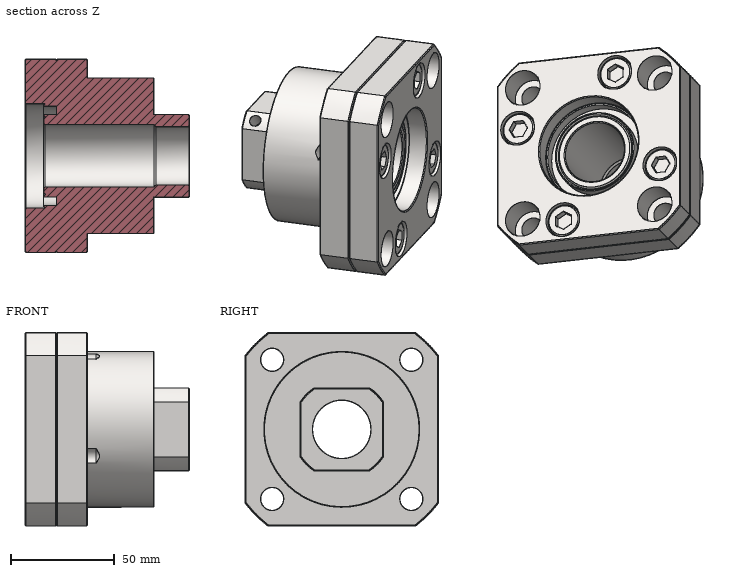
import cadquery as cq
import math


FLANGE_SIDE = 93.0
FLANGE_CORNER_RADIUS = 58.5
FRONT_PLATE_END = 15.0
FLANGE_END = 29.9
EDGE_CHAMFER = 0.5

BODY_RADIUS = 37.5
BODY_END = 61.9
BODY_CHAMFER = 0.3

NUT_SIDE = 40.0
NUT_CORNER_RADIUS = 24.0
NUT_END = 79.0
NUT_BORE_RADIUS = 14.0
SET_SCREW_RADIUS = 2.8
SET_SCREW_X = 73.0

BORE_RADIUS = 15.0
RECESS_RADIUS = 23.8
RECESS_DEPTH = FRONT_PLATE_END
SEAL_SEAT_RADIUS = 25.0
SLEEVE_FACE_X = 8.9
SLEEVE_RADIUS = 18.6
SLEEVE_CHAMFER = 0.7
COLLAR_RADIUS = 19.9

MOUNT_OFFSET = 33.5
MOUNT_HOLE_RADIUS = 5.5
MOUNT_COUNTERBORE_RADIUS = 8.7
MOUNT_COUNTERBORE_DEPTH = FRONT_PLATE_END

SCREW_COUNT = 4
SCREW_CIRCLE_RADIUS = 38.4
SCREW_FIRST_ANGLE = 20.0
SCREW_SEAT_RADIUS = 8.6
SCREW_SEAT_DEPTH = 11.0
SCREW_HEAD_RADIUS = 8.0
SCREW_HEAD_CHAMFER = 0.65
SCREW_HEAD_X = 1.0
SOCKET_FLATS = 8.0
SOCKET_DEPTH = 4.0

DRILL_RADIUS = 3.9
DRILL_END = 34.1
DRILL_TIP_HALF_ANGLE = 60.0


def yz_plane(x):
    """Sketch plane at x, with local axes along Y and Z."""
    return cq.Workplane("YZ", origin=(x, 0, 0))


def cylinder(x_start, x_end, radius):
    return yz_plane(x_start).circle(radius).extrude(x_end - x_start)


def revolved(profile):
    """Turn a closed outline of (x, radius) points about the X axis."""
    return cq.Workplane("XY").polyline(profile).close().revolve(360, (0, 0, 0), (1, 0, 0))


def rounded_square(x_start, x_end, side, corner_radius):
    """Square bar whose corners are cut to a circle about the axis."""
    square = yz_plane(x_start).rect(side, side).extrude(x_end - x_start)
    return square.intersect(cylinder(x_start, x_end, corner_radius))


def make_flange():
    front_plate = rounded_square(0, FRONT_PLATE_END, FLANGE_SIDE, FLANGE_CORNER_RADIUS)
    back_plate = rounded_square(FRONT_PLATE_END, FLANGE_END, FLANGE_SIDE, FLANGE_CORNER_RADIUS)
    front_plate = front_plate.faces("<X or >X").chamfer(EDGE_CHAMFER)
    back_plate = back_plate.faces("<X or >X").chamfer(EDGE_CHAMFER)
    return front_plate.union(back_plate)


def make_body():
    return cylinder(FLANGE_END, BODY_END, BODY_RADIUS).faces(">X").chamfer(BODY_CHAMFER)


def make_nut():
    nut = rounded_square(BODY_END, NUT_END, NUT_SIDE, NUT_CORNER_RADIUS)
    return nut.faces(">X").chamfer(EDGE_CHAMFER)


def make_center_cavity():
    """Annular recess round the sleeve, then the bore narrowing inside the nut."""
    bore_step = BORE_RADIUS - NUT_BORE_RADIUS
    return revolved([
        (0, 0),
        (0, RECESS_RADIUS),
        (RECESS_DEPTH, RECESS_RADIUS),
        (RECESS_DEPTH, COLLAR_RADIUS),
        (SLEEVE_FACE_X, COLLAR_RADIUS),
        (SLEEVE_FACE_X, SLEEVE_RADIUS + SLEEVE_CHAMFER),
        (SLEEVE_FACE_X + SLEEVE_CHAMFER, SLEEVE_RADIUS),
        (SLEEVE_FACE_X, SLEEVE_RADIUS - SLEEVE_CHAMFER),
        (SLEEVE_FACE_X, BORE_RADIUS + EDGE_CHAMFER),
        (SLEEVE_FACE_X + EDGE_CHAMFER, BORE_RADIUS),
        (BODY_END, BORE_RADIUS),
        (BODY_END + bore_step, NUT_BORE_RADIUS),
        (NUT_END, NUT_BORE_RADIUS),
        (NUT_END, 0),
    ])


def make_seal_seat():
    """Wide mouth of the recess, ending at a chamfered seal ring level with the sleeve face."""
    return revolved([
        (0, 0),
        (0, SEAL_SEAT_RADIUS + EDGE_CHAMFER),
        (EDGE_CHAMFER, SEAL_SEAT_RADIUS),
        (SLEEVE_FACE_X + EDGE_CHAMFER, SEAL_SEAT_RADIUS),
        (SLEEVE_FACE_X, SEAL_SEAT_RADIUS - EDGE_CHAMFER),
        (SLEEVE_FACE_X, 0),
    ])


def four_corner_cylinders(length, radius):
    """Cylinders from the front face at the four corner hole positions."""
    pitch = 2 * MOUNT_OFFSET
    centers = yz_plane(0).rect(pitch, pitch, forConstruction=True).vertices()
    return centers.circle(radius).extrude(length)


def make_mount_holes():
    holes = four_corner_cylinders(FLANGE_END, MOUNT_HOLE_RADIUS)
    counterbores = four_corner_cylinders(MOUNT_COUNTERBORE_DEPTH, MOUNT_COUNTERBORE_RADIUS)
    return holes.union(counterbores)


def make_screw_cutter():
    """Everything removed for one screw, built on the X axis: head gap, socket and drilled end."""
    seat = cylinder(0, SCREW_SEAT_DEPTH, SCREW_SEAT_RADIUS)
    head = cylinder(SCREW_HEAD_X, SCREW_SEAT_DEPTH, SCREW_HEAD_RADIUS)
    head = head.faces("<X").chamfer(SCREW_HEAD_CHAMFER)
    socket_corners = SOCKET_FLATS / math.cos(math.radians(30))
    socket = yz_plane(SCREW_HEAD_X).polygon(6, socket_corners).extrude(SOCKET_DEPTH)
    tip_length = DRILL_RADIUS / math.tan(math.radians(DRILL_TIP_HALF_ANGLE))
    drilled_end = revolved([
        (FLANGE_END, 0),
        (FLANGE_END, DRILL_RADIUS),
        (DRILL_END, DRILL_RADIUS),
        (DRILL_END + tip_length, 0),
    ])
    return seat.cut(head).union(socket).union(drilled_end)


def make_screw_cutters():
    """Four cutters spaced round the axis, each socket with a corner along a flange side."""
    cutter = make_screw_cutter()
    center_angle = math.radians(SCREW_FIRST_ANGLE)
    center = (
        0,
        SCREW_CIRCLE_RADIUS * math.cos(center_angle),
        SCREW_CIRCLE_RADIUS * math.sin(center_angle),
    )
    first = cutter.translate(center)
    cutters = first
    for index in range(1, SCREW_COUNT):
        turn = index * 360 / SCREW_COUNT
        cutters = cutters.union(first.rotate((0, 0, 0), (1, 0, 0), turn))
    return cutters


def make_set_screw_hole():
    """Radial hole through the nut corner between +Y and +Z, into the bore."""
    direction = cq.Vector(0, 1, 1)
    axis_start = cq.Vector(SET_SCREW_X, 0, 0)
    return cq.Workplane(cq.Solid.makeCylinder(SET_SCREW_RADIUS, NUT_SIDE, axis_start, direction))


result = make_flange().union(make_body()).union(make_nut())
result = result.cut(make_center_cavity())
result = result.cut(make_seal_seat())
result = result.cut(make_mount_holes())
result = result.cut(make_screw_cutters())
result = result.cut(make_set_screw_hole())